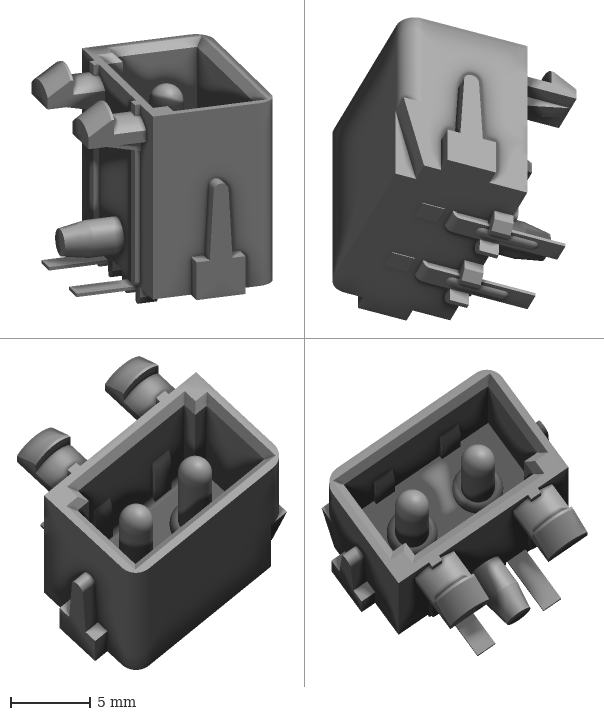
import cadquery as cq
import math


overlap = 0.15

body_width = 13.14
body_depth = 8.4
body_height = 12.31
corner_radius = 1.22
floor_height = 3.05

cavity_half_width = 5.58
cavity_back = 7.36
cavity_front = 1.02
step_half_width = 4.59
step_front = 2.03
mouth_flare = 0.5
floor_fillet = 0.49

key_height = 5.29
undercut_depth = 1.39
undercut_width = 1.39

contact_x = 2.55
contact_y = body_depth / 2
contact_radius = 1.08
contact_top = 10.76
collar_radius = 1.6
collar_height = 0.76
collar_round = 0.41

bump_width = 1.43
bump_depth = 0.26
bump_top = 7.71
bump_shoulder = 5.64

overall_width = 15.24
wing_base_half_depth = 1.65
wing_base_height = 2.55
wing_root_half_depth = 0.76
wing_tip_radius = 0.5
wing_height = 7.65

rib_x = 3.83
rib_width = 0.76
rib_depth = 0.35

hook_x = 3.8
hook_half_width = 1.51
hook_arc_rise = 0.65
hook_bottom = 10.17
arm_side_top = 10.94
head_side_top = 11.92
head_start = 2.13
head_flat = 0.18
hook_reach = 3.85
gusset_width = 1.0
gusset_bottom = 9.2

peg_z = 2.03
peg_radius = 1.2
peg_tip_radius = 0.9
peg_straight = 2.05

foot_half_width = 1.66
foot_depth = 1.3
foot_drop = 1.3
foot_shoulder_drop = 0.7
foot_tip_outer = 1.17
foot_tip_inner = 0.85
slot_half_width = 0.8
slot_top = 0.29

lead_width = 1.37
lead_top = slot_top
lead_thickness = 0.23
lead_reach = 3.92
lead_back = 3.72
lead_bend_radius = 0.52
lead_embed = 0.61
web_width = 1.22
bead_radius = 0.45
bead_drop = 0.75
bead_back = 1.9
bead_front = 2.32
pad_front = 4.27
pad_back = 5.79
pad_drop = 0.06


def box(x_range, y_range, z_range):
    """Axis-aligned box between the given (low, high) pairs."""
    (x0, x1), (y0, y1), (z0, z1) = x_range, y_range, z_range
    return cq.Workplane("XY").box(x1 - x0, y1 - y0, z1 - z0, centered=False).translate((x0, y0, z0))


def side_profile(center_x, width):
    """YZ workplane placed to extrude a profile of the given width about center_x."""
    return cq.Workplane("YZ", origin=(center_x - width / 2, 0, 0))


def housing():
    half = body_width / 2
    body = box((-half, half), (0, body_depth), (0, body_height))
    body = body.edges("|Z and >Y").fillet(corner_radius)
    key_corner = box((-half, 0), (body_depth / 2, body_depth), (0, key_height))
    undercut = (
        cq.Workplane("YZ", origin=(-half, 0, 0))
        .moveTo(body_depth, key_height)
        .lineTo(body_depth, 0)
        .lineTo(body_depth - undercut_depth, 0)
        .close()
        .extrude(undercut_width)
    )
    return body.union(key_corner).cut(undercut)


def cavity_outline(plane_z, flare):
    """Cavity outline, narrower at the front, enlarged on every side by flare."""
    wide = cavity_half_width + flare
    narrow = step_half_width + flare
    front = cavity_front - flare
    step = step_front - flare
    back = cavity_back + flare
    return cq.Workplane("XY", origin=(0, 0, plane_z)).polyline(
        [(-wide, back), (-wide, step), (-narrow, step), (-narrow, front),
         (narrow, front), (narrow, step), (wide, step), (wide, back)]
    ).close()


def cavity():
    mouth_bottom = body_height - mouth_flare
    pocket = cavity_outline(floor_height, 0).extrude(mouth_bottom - floor_height)
    pocket = pocket.faces("<Z").edges("|X and (not >Y)").fillet(floor_fillet)
    lower = cavity_outline(mouth_bottom, 0).wires().val()
    upper = cavity_outline(body_height, mouth_flare).wires().val()
    mouth = cq.Workplane(cq.Solid.makeLoft([lower, upper], True))
    return pocket.union(mouth)


def contact(x):
    collar = (
        cq.Workplane("XY", origin=(x, contact_y, floor_height))
        .circle(collar_radius)
        .extrude(collar_height)
        .faces(">Z").edges().fillet(collar_round)
    )
    pin = (
        cq.Workplane("XY", origin=(x, contact_y, floor_height))
        .circle(contact_radius)
        .extrude(contact_top - contact_radius - floor_height)
    )
    dome = cq.Workplane("XY").sphere(contact_radius).translate(
        (x, contact_y, contact_top - contact_radius)
    )
    return collar.union(pin).union(dome)


def wall_bump(x, wall_y, inward):
    """Bump rising from the cavity floor; inward is the Y direction pointing into the cavity."""
    face_y = wall_y + inward * bump_depth
    embed_y = wall_y - inward * overlap
    return (
        side_profile(x, bump_width)
        .moveTo(embed_y, floor_height)
        .lineTo(face_y, floor_height)
        .lineTo(face_y, bump_shoulder)
        .tangentArcPoint((wall_y, bump_top), relative=False)
        .lineTo(embed_y, bump_top)
        .close()
        .extrude(bump_width)
    )


def wings():
    """Both side wings, as one profile running through the width of the housing."""
    tip_z = wing_height - wing_tip_radius
    root_to_tip = tip_z - wing_base_height
    root_distance = math.hypot(wing_root_half_depth, root_to_tip)
    lean = math.acos(wing_tip_radius / root_distance) - math.atan2(root_to_tip, wing_root_half_depth)
    tangent_y = wing_tip_radius * math.cos(lean)
    tangent_z = tip_z + wing_tip_radius * math.sin(lean)
    return (
        side_profile(0, overall_width)
        .moveTo(contact_y - wing_base_half_depth, 0)
        .lineTo(contact_y - wing_base_half_depth, wing_base_height)
        .lineTo(contact_y - wing_root_half_depth, wing_base_height)
        .lineTo(contact_y - tangent_y, tangent_z)
        .threePointArc((contact_y, wing_height), (contact_y + tangent_y, tangent_z))
        .lineTo(contact_y + wing_root_half_depth, wing_base_height)
        .lineTo(contact_y + wing_base_half_depth, wing_base_height)
        .lineTo(contact_y + wing_base_half_depth, 0)
        .close()
        .extrude(overall_width)
    )


def rib(x):
    half = rib_width / 2
    bar = box((x - half, x + half), (-rib_depth, 0), (half, body_height))
    end = cq.Workplane("XZ", origin=(x, 0, half)).circle(half).extrude(rib_depth)
    return bar.union(end)


def hook_section(x, y, side_top):
    """Flat-bottomed section with an arched top, in the plane at the given Y."""
    return (
        cq.Workplane("XZ", origin=(x, y, 0))
        .moveTo(-hook_half_width, hook_bottom)
        .lineTo(hook_half_width, hook_bottom)
        .lineTo(hook_half_width, side_top)
        .threePointArc((0, side_top + hook_arc_rise), (-hook_half_width, side_top))
        .close()
    )


def hook(x):
    slope_start = -(head_start + head_flat)
    arm = hook_section(x, 0, arm_side_top).extrude(head_start)
    head = hook_section(x, -head_start, head_side_top).extrude(head_flat)
    slope_sections = [
        hook_section(x, slope_start, head_side_top).wires().val(),
        hook_section(x, -hook_reach, arm_side_top).wires().val(),
    ]
    slope = cq.Workplane(cq.Solid.makeLoft(slope_sections, True))
    return arm.union(head).union(slope)


def gusset(x):
    """Triangular support from the front wall to the tip of the hook."""
    return (
        side_profile(x, gusset_width)
        .polyline([(0, hook_bottom), (-hook_reach, hook_bottom), (0, gusset_bottom)])
        .close()
        .extrude(gusset_width)
    )


def peg():
    profile = [
        (0, 0),
        (peg_radius, 0),
        (peg_radius, -peg_straight),
        (peg_tip_radius, -hook_reach),
        (0, -hook_reach),
    ]
    return (
        cq.Workplane("XY")
        .polyline(profile)
        .close()
        .revolve(360, (0, 0, 0), (0, 1, 0))
        .translate((0, 0, peg_z))
    )


def foot(x):
    right_half = [
        (slot_half_width, -slot_top),
        (foot_tip_inner, -foot_drop),
        (foot_tip_outer, -foot_drop),
        (foot_half_width, -foot_shoulder_drop),
        (foot_half_width, 0),
    ]
    left_half = [(-px, pz) for px, pz in reversed(right_half)]
    return (
        cq.Workplane("XZ", origin=(x, foot_depth, 0))
        .polyline(left_half + right_half)
        .close()
        .extrude(foot_depth)
    )


def lead(x):
    """Flat strip bent up into the housing, with its bead, a pad behind it and a web above it."""
    lead_bottom = lead_top + lead_thickness
    strip = (
        side_profile(x, lead_width)
        .polyline([
            (-lead_reach, -lead_top),
            (-lead_reach, -lead_bottom),
            (lead_back, -lead_bottom),
            (lead_back, lead_embed),
            (lead_back - lead_thickness, lead_embed),
            (lead_back - lead_thickness, -lead_top),
        ])
        .close()
        .extrude(lead_width)
    )
    strip = strip.edges("|X and >Y and <Z").fillet(lead_bend_radius)
    inner_bend = cq.selectors.NearestToPointSelector((x, lead_back - lead_thickness, -lead_top))
    strip = strip.edges(inner_bend).fillet(lead_bend_radius - lead_thickness)
    half = lead_width / 2
    pad = box((x - half, x + half), (pad_front, pad_back), (-pad_drop, overlap))
    half_web = web_width / 2
    web = box((x - half_web, x + half_web), (0, lead_back - lead_thickness), (-lead_top, 0))
    return strip.union(bead(x)).union(pad).union(web)


def bead(x):
    """Lower part of a round-ended bar, showing below the lead."""
    axis_z = bead_radius - bead_drop
    lead_middle = -lead_top - lead_thickness / 2
    end_overlap = math.sqrt(bead_radius**2 - (lead_top + lead_thickness + axis_z) ** 2)
    back_center = bead_back - end_overlap
    front_center = -bead_front + end_overlap
    bar = cq.Workplane("XZ", origin=(x, back_center, axis_z)).circle(bead_radius)
    bar = bar.extrude(back_center - front_center)
    for center_y in (back_center, front_center):
        bar = bar.union(cq.Workplane("XY").sphere(bead_radius).translate((x, center_y, axis_z)))
    below_lead = box(
        (x - bead_radius, x + bead_radius), (-bead_front, bead_back), (-bead_drop, lead_middle)
    )
    return bar.intersect(below_lead)


result = housing().union(wings()).cut(cavity()).union(peg())
for side in (-1, 1):
    result = result.union(contact(side * contact_x))
    result = result.union(wall_bump(side * contact_x, cavity_back, -1))
    result = result.union(wall_bump(side * contact_x, cavity_front, 1))
    result = result.union(rib(side * rib_x))
    result = result.union(hook(side * hook_x))
    result = result.union(gusset(side * rib_x))
    result = result.union(foot(side * contact_x))
    result = result.union(lead(side * contact_x))